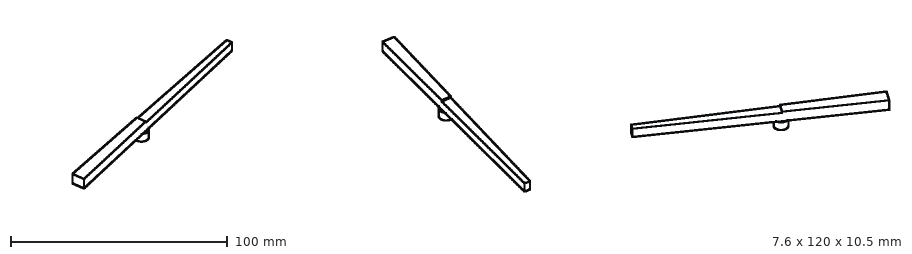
import cadquery as cq

bar_length = 120.0
front_width = 6.5
rear_width = 3.0
front_height = 5.8
step_drop = 0.7
step_y = 50.0

pin_diameter = 7.0
pin_height = 4.7
pin_overhang = 1.1
pin_x = pin_overhang - pin_diameter / 2


def make_bar():
    """Tapered bar with its straight side on X = 0 and its underside on Z = 0."""
    bar = (
        cq.Workplane("XY")
        .polyline([(0, 0), (0, bar_length), (-rear_width, bar_length), (-front_width, 0)])
        .close()
        .extrude(front_height)
    )
    rear_cut = cq.Workplane("XY").box(
        2 * front_width, bar_length - step_y, step_drop, centered=(True, False, False)
    )
    return bar.cut(rear_cut.translate((0, step_y, front_height - step_drop)))


def make_pin():
    """Round pin whose upper face bears on the underside of the bar."""
    return cq.Workplane("XY").center(pin_x, step_y).circle(pin_diameter / 2).extrude(-pin_height)


bar = make_bar()
pin = make_pin()

result = cq.Compound.makeCompound([bar.val(), pin.val()])